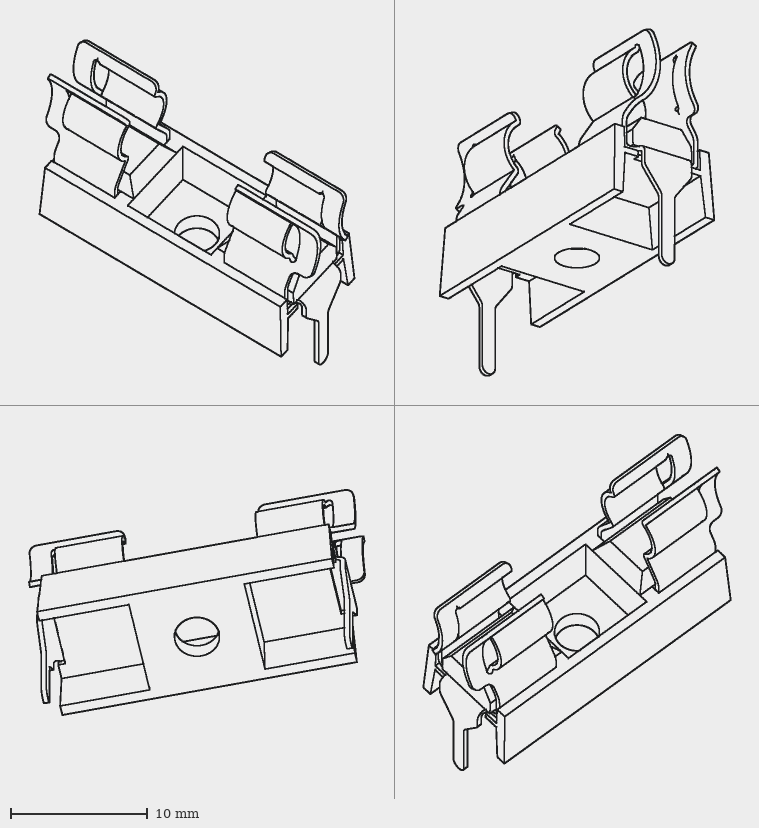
import cadquery as cq
import math

base_length = 22.02
base_width = 9.0
wall_height = 5.5
draft_angle = 3.0
block_height = 6.7
block_foot_half_width = 2.64
block_top_half_width = 1.8
block_top_inner_x = 4.8
pocket_half_length = 3.8
channel_half_width = 3.4
pocket_floor_z = 1.5
screw_hole_diameter = 3.3
web_bottom_z = 3.35
cavity_foot_half_width = 3.7
pocket_wall = 0.5
notch_half_width = 2.2
notch_bottom_x = 10.3

sheet = 0.39
clip_base_z = 3.82
clip_inner_x = 4.99
clip_outer_x = 10.5
ear_outer_x = 12.1
clip_top_z = 13.48
base_bend_radius = 0.6
leg_bend_radius = 1.4
lean_angle = 33.0
lip_angle = 27.0
ear_gap_half = 1.11
ear_radius = 4.75
ear_center_z = 10.75
ear_root_length = 0.53
cup_radius = 2.6
cup_center_y = 0.4
cup_center_z = 10.5
relief_width = 0.5
relief_bottom_z = 8.4
relief_top_z = 12.73
trim_radius = 0.6

terminal_outer_x = 11.52
terminal_half_width = 2.1
pin_half_width = 0.58
pin_tip_z = -5.0
taper_top_z = 2.55
taper_bottom_z = 0.55
terminal_bend_radius = 0.68
tab_fillet_radius = 0.5

cavity_inner_x = pocket_half_length + pocket_wall
clip_base_top_z = clip_base_z + sheet
relief_middle_x = clip_outer_x - relief_width / 2
lean = math.radians(lean_angle)
lip = math.radians(lip_angle)
ear_outer_radius = ear_radius - sheet
ear_center_y = ear_gap_half + ear_radius
cup_inner_radius = cup_radius - sheet
reach = 14.52


def box(x_range, y_range, z_range):
    """Box between the given limits."""
    size = [high - low for low, high in (x_range, y_range, z_range)]
    return cq.Workplane("XY").box(*size, centered=False).translate((x_range[0], y_range[0], z_range[0]))


def polar(center, radius, angle):
    """Point at an angle (radians) around a centre."""
    return (center[0] + radius * math.cos(angle), center[1] + radius * math.sin(angle))


def along(point, direction, distance):
    """Point reached by moving a distance in a unit direction."""
    return (point[0] + direction[0] * distance, point[1] + direction[1] * distance)


def distance_to_circle(point, direction, center, radius):
    """Distance from a point outside a circle, along a unit direction, to the circle."""
    offset = (point[0] - center[0], point[1] - center[1])
    half_b = offset[0] * direction[0] + offset[1] * direction[1]
    return -half_b - math.sqrt(half_b**2 - offset[0] ** 2 - offset[1] ** 2 + radius**2)


def both_ends(shape):
    """The shape together with its mirror image at the -X end."""
    return shape.union(shape.mirror("YZ"))


def drafted_envelope():
    """Walls up to their top and a sloped ridge above them, all with drafted outer faces."""
    drafted = cq.Workplane("XY").rect(base_length, base_width).extrude(block_height, taper=draft_angle)
    walls = box((-reach, reach), (-reach, reach), (0, wall_height))
    ridge = (
        cq.Workplane("YZ")
        .polyline([
            (-block_foot_half_width, wall_height),
            (block_foot_half_width, wall_height),
            (block_top_half_width, block_height),
            (-block_top_half_width, block_height),
        ])
        .close()
        .extrude(reach, both=True)
    )
    return drafted.intersect(walls.union(ridge))


def gap_between_blocks():
    """Opening that divides the ridge into two blocks with sloped inner ends."""
    return (
        cq.Workplane("XZ")
        .polyline([
            (-pocket_half_length, wall_height),
            (pocket_half_length, wall_height),
            (block_top_inner_x, block_height),
            (-block_top_inner_x, block_height),
        ])
        .close()
        .extrude(reach, both=True)
    )


def clip_slots():
    """Slots for the clip legs beside each block and for the clip base under it."""
    slot = box(
        (clip_inner_x, reach), (-channel_half_width, channel_half_width), (clip_base_z, clip_base_top_z)
    )
    for low, high in (
        (block_foot_half_width, channel_half_width),
        (-channel_half_width, -block_foot_half_width),
    ):
        slot = slot.union(box((clip_inner_x, reach), (low, high), (clip_base_z, block_height)))
    return both_ends(slot)


def end_cavities():
    """Hollows under the webs, open at the bottom and at the ends."""
    cavity = (
        cq.Workplane("YZ", origin=(cavity_inner_x, 0, 0))
        .polyline([
            (-cavity_foot_half_width, 0),
            (cavity_foot_half_width, 0),
            (channel_half_width, web_bottom_z),
            (-channel_half_width, web_bottom_z),
        ])
        .close()
        .extrude(reach)
    )
    notch = box(
        (notch_bottom_x, reach), (-notch_half_width, notch_half_width), (web_bottom_z, clip_base_z)
    )
    return both_ends(cavity.union(notch))


def make_housing():
    pocket = box(
        (-pocket_half_length, pocket_half_length),
        (-channel_half_width, channel_half_width),
        (pocket_floor_z, wall_height),
    )
    screw_hole = cq.Workplane("XY").circle(screw_hole_diameter / 2).extrude(pocket_floor_z)
    return (
        drafted_envelope()
        .cut(gap_between_blocks())
        .cut(pocket)
        .cut(screw_hole)
        .cut(clip_slots())
        .cut(end_cavities())
    )


base_bend_center = (channel_half_width - base_bend_radius, clip_base_z + base_bend_radius)
ear_center = (ear_center_y, ear_center_z)
cup_center = (cup_center_y, cup_center_z)
slope_up = (-math.sin(lean), math.cos(lean))
slope_inward = (-math.cos(lean), -math.sin(lean))
lip_up = (math.sin(lip), math.cos(lip))
lip_down = (-math.sin(lip), -math.cos(lip))
lip_inward = (-math.cos(lip), math.sin(lip))

slope_end = polar(ear_center, ear_outer_radius, math.pi + lean)
bend_end_y = channel_half_width - leg_bend_radius * (1 - math.cos(lean))
bend_end_z = slope_end[1] - (bend_end_y - slope_end[0]) / math.tan(lean)
leg_bend_center = (channel_half_width - leg_bend_radius, bend_end_z - leg_bend_radius * math.sin(lean))

lip_start = polar(ear_center, ear_outer_radius, math.pi - lip)
lip_inner_start = along(lip_start, lip_inward, sheet)
lip_length = (clip_top_z - lip_inner_start[1]) / lip_up[1]
lip_end = along(lip_start, lip_up, lip_length)
lip_inner_end = along(lip_inner_start, lip_up, lip_length)

low_crease = along(slope_end, slope_up, distance_to_circle(slope_end, slope_up, cup_center, cup_radius))
high_crease = along(lip_start, lip_down, distance_to_circle(lip_start, lip_down, cup_center, cup_radius))


def arc_to(outline, center, radius, start, end):
    """Continue an outline with an arc from one angle to another around a centre."""
    return outline.threePointArc(polar(center, radius, (start + end) / 2), polar(center, radius, end))


def start_of_spring(x):
    """Outer face of base, leg and leg bend."""
    outline = cq.Workplane("YZ", origin=(x, 0, 0)).moveTo(0, clip_base_z)
    outline = outline.lineTo(base_bend_center[0], clip_base_z)
    outline = arc_to(outline, base_bend_center, base_bend_radius, -math.pi / 2, 0)
    outline = outline.lineTo(channel_half_width, leg_bend_center[1])
    return arc_to(outline, leg_bend_center, leg_bend_radius, 0, lean)


def finish_spring(outline):
    """Inner face of leg bend, leg and base."""
    outline = outline.lineTo(*polar(leg_bend_center, leg_bend_radius - sheet, lean))
    outline = arc_to(outline, leg_bend_center, leg_bend_radius - sheet, lean, 0)
    outline = outline.lineTo(channel_half_width - sheet, base_bend_center[1])
    outline = arc_to(outline, base_bend_center, base_bend_radius - sheet, 0, -math.pi / 2)
    return outline.lineTo(0, clip_base_top_z).close()


def ear_spring():
    """Strip that bulges toward the middle plane."""
    outline = start_of_spring(relief_middle_x).lineTo(*slope_end)
    outline = arc_to(outline, ear_center, ear_outer_radius, math.pi + lean, math.pi - lip)
    outline = outline.lineTo(*lip_end).lineTo(*lip_inner_end).lineTo(*lip_inner_start)
    outline = arc_to(outline, ear_center, ear_radius, math.pi - lip, math.pi + lean)
    return finish_spring(outline).extrude(ear_outer_x - relief_middle_x)


def cup_spring():
    """Strip that bulges outward around the fuse, bent around a crease at each end of the cup."""
    low_angle = math.atan2(low_crease[1] - cup_center_z, low_crease[0] - cup_center_y)
    high_angle = math.atan2(high_crease[1] - cup_center_z, high_crease[0] - cup_center_y)
    outline = start_of_spring(clip_inner_x).lineTo(*low_crease)
    outline = arc_to(outline, cup_center, cup_radius, low_angle, high_angle)
    outline = outline.lineTo(*lip_end).lineTo(*lip_inner_end).lineTo(*along(high_crease, lip_inward, sheet))
    outline = arc_to(outline, high_crease, sheet, math.pi - lip, math.pi + high_angle)
    outline = arc_to(outline, cup_center, cup_inner_radius, high_angle, low_angle)
    outline = arc_to(outline, low_crease, sheet, math.pi + low_angle, math.pi + lean)
    return finish_spring(outline).extrude(relief_middle_x - clip_inner_x)


def ear_trim():
    """Cut below the ear, rounded at its free corner and where it joins the slope."""
    plane = cq.Plane(origin=(0, *slope_end), xDir=(1, 0, 0), normal=(0, *slope_inward))
    inner_center = (clip_outer_x + trim_radius, -ear_root_length - trim_radius)
    outer_center = (ear_outer_x - trim_radius, trim_radius - ear_root_length)
    outline = cq.Workplane(plane).moveTo(clip_outer_x, -reach).lineTo(clip_outer_x, inner_center[1])
    outline = arc_to(outline, inner_center, trim_radius, math.pi, math.pi / 2)
    outline = outline.lineTo(outer_center[0], -ear_root_length)
    outline = arc_to(outline, outer_center, trim_radius, -math.pi / 2, 0)
    outline = outline.lineTo(reach, outer_center[1]).lineTo(reach, -reach).close()
    return outline.extrude(reach / 2, both=True)


def lip_corner_trim(corner_x, toward_middle):
    """Cut that rounds one upper corner of the lip."""
    plane = cq.Plane(origin=(0, *lip_end), xDir=(1, 0, 0), normal=(0, *lip_inward))
    center = (corner_x + toward_middle * trim_radius, -trim_radius)
    side_angle = math.pi if toward_middle > 0 else 0
    outline = cq.Workplane(plane).moveTo(corner_x, 0).lineTo(corner_x, center[1])
    outline = arc_to(outline, center, trim_radius, side_angle, math.pi / 2)
    return outline.close().extrude(2 * sheet, both=True)


def relief_slot():
    """Round-ended slot between ear and cup."""
    middle_z = (relief_bottom_z + relief_top_z) / 2
    return (
        cq.Workplane("XZ")
        .center(relief_middle_x, middle_z)
        .slot2D(relief_top_z - relief_bottom_z, relief_width, 90)
        .extrude(-reach)
    )


def make_spring():
    return (
        cup_spring()
        .union(ear_spring())
        .cut(relief_slot())
        .cut(ear_trim())
        .cut(lip_corner_trim(clip_inner_x, 1))
        .cut(lip_corner_trim(ear_outer_x, -1))
    )


def bent_strip():
    """Tab leaving the clip base and bending straight down."""
    bend_center = (terminal_outer_x - terminal_bend_radius, clip_base_top_z - terminal_bend_radius)
    inner_radius = terminal_bend_radius - sheet
    outline = cq.Workplane("XZ").moveTo(clip_outer_x, clip_base_top_z).lineTo(bend_center[0], clip_base_top_z)
    outline = arc_to(outline, bend_center, terminal_bend_radius, math.pi / 2, 0)
    outline = outline.lineTo(terminal_outer_x, pin_tip_z).lineTo(terminal_outer_x - sheet, pin_tip_z)
    outline = outline.lineTo(terminal_outer_x - sheet, bend_center[1])
    outline = arc_to(outline, bend_center, inner_radius, 0, math.pi / 2)
    outline = outline.lineTo(clip_outer_x, clip_base_z).close()
    return outline.extrude(terminal_half_width + tab_fillet_radius, both=True)


def terminal_shape():
    """Face shape of the terminal: wide tab, taper with rounded corners, round-tipped pin."""
    tip_center_z = pin_tip_z + pin_half_width
    blade = (
        cq.Workplane("YZ")
        .polyline([
            (-terminal_half_width, clip_base_top_z),
            (-terminal_half_width, taper_top_z),
            (-pin_half_width, taper_bottom_z),
            (pin_half_width, taper_bottom_z),
            (terminal_half_width, taper_top_z),
            (terminal_half_width, clip_base_top_z),
        ])
        .close()
        .extrude(reach)
    )
    pin = box((0, reach), (-pin_half_width, pin_half_width), (tip_center_z, taper_top_z))
    tip = cq.Workplane("YZ").center(0, tip_center_z).circle(pin_half_width).extrude(reach)
    taper_zone = cq.selectors.BoxSelector((-reach, -reach, 0), (reach, reach, wall_height / 2))
    return blade.union(pin).edges("|X").edges(taper_zone).fillet(trim_radius).union(tip)


def tab_fillets():
    """Plan shape of the concave fillets between the tab and the end of the clip base."""
    outer_y = terminal_half_width + tab_fillet_radius
    center = (clip_outer_x + tab_fillet_radius, outer_y)
    outline = cq.Workplane("XY").moveTo(clip_outer_x, terminal_half_width).lineTo(clip_outer_x, outer_y)
    outline = arc_to(outline, center, tab_fillet_radius, math.pi, 3 * math.pi / 2)
    fillet = outline.close().extrude(clip_base_top_z)
    return fillet.union(fillet.mirror("XZ"))


def make_clip():
    """Clip at the +X end, bent from one piece of sheet."""
    spring = make_spring()
    terminal = bent_strip().intersect(terminal_shape().union(tab_fillets()))
    return spring.union(spring.mirror("XZ")).union(terminal)


housing = make_housing()
clip = make_clip()
clips = [clip, clip.mirror("YZ")]

result = cq.Compound.makeCompound([housing.solids().val(), *[one.solids().val() for one in clips]])